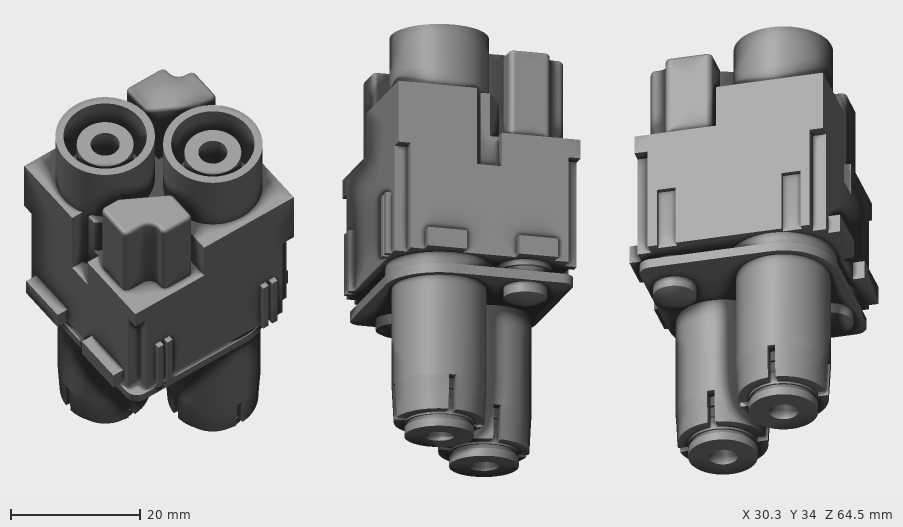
import cadquery as cq
import math

OVERALL_X = 30.3
OVERALL_Y = 34.0
OVERALL_Z = 64.5

BODY_X = 29.4
BODY_Y = 30.2
BODY_TOP = 26.9
HALF_X = BODY_X / 2
HALF_Y = BODY_Y / 2
EDGE_RELIEF_X = 1.95
EDGE_RELIEF_Y = 2.15
EDGE_RELIEF_TOP = 17.0
OVERCUT = 1.0

CONTACT_X = 5.5
CONTACT_Y = 6.3
BORE_RADIUS = 2.25

SLEEVE_TOP = 37.2
SLEEVE_OUTER_RADIUS = 7.7
SLEEVE_INNER_RADIUS = 6.45
PIN_RADIUS = 4.4
PIN_SETBACK = 2.05

SHELF_Z = 20.0
SHELF_EDGE_Y = -2.0
SHELF_STEP_X = 6.1
SHELF_STEP_Y = -2.5
SHELF_WALL_X = 3.6
SHELF_BEND_Y = -8.3
BLOCK_TOP = 34.1
BLOCK_LEFT = 3.65
BLOCK_RIGHT = 13.4
BLOCK_BACK = -3.1
BLOCK_FRONT = -13.85
BLOCK_SLANT_X = 7.8
BLOCK_SLANT_Y = -10.4
BLOCK_NOTCH_X = 10.3
FRONT_BLOCK_NOTCH_Y = -8.75
REAR_BLOCK_NOTCH_Y = -10.65
BLOCK_CORNER_RADIUS = 0.9
BLOCK_NOTCH_RADIUS = 1.8
BLOCK_TOP_FILLET = 0.6

SLOT_WIDTH = 4.0
SLOT_DEPTH = 2.2
SLOT_FLOOR_Z = 14.55
SLOT_LEDGE_HALF = 0.75

LUG_SPACING = 14.75
LUG_HEIGHT = 3.0
LUG_DEPTH = (OVERALL_Y - BODY_Y) / 2
FRONT_LUG_WIDTH = 8.3
REAR_LUG_WIDTH = 6.25
RIB_PAIR_Y = 10.0
RIB_HEIGHT = 9.9
RIB_DEPTH = OVERALL_X - BODY_X
RIB_WIDTH = 1.0
RIB_PITCH = 1.7
GROOVE_WIDTH = 3.0
GROOVE_DEPTH = 0.9

PLATE_TOP = -1.9
PLATE_BOTTOM = -3.4
PLATE_HALF_X = 14.05
PLATE_HALF_Y = 14.9
PLATE_CORNER_RADIUS = 2.1
NECK_RADIUS = 8.4
SCREW_X = 7.1
SCREW_Y = -10.65
SCREW_BOSS_RADIUS = 4.1
SCREW_BOSS_HEIGHT = 0.85
SCREW_WASHER_RADIUS = 3.6
SCREW_HEAD_RADIUS = 3.4
SCREW_HEAD_EDGE_Z = -5.05
SCREW_HEAD_BOTTOM = -6.1

TUBE_RADIUS = 7.35
TUBE_BOTTOM = -19.5
COLLAR_BOTTOM = -25.0
COLLAR_END_RADIUS = 7.05
COLLAR_SLOT_WIDTH = 1.2
CORE_RADIUS = 5.4
CORE_BOTTOM = SLEEVE_TOP - OVERALL_Z
CORE_GROOVE_RADIUS = 4.9
CORE_GROOVE_TOP = -21.1
CORE_GROOVE_TAPER = -22.65
CORE_GROOVE_BOTTOM = -23.35
RING_GROOVE_TOP = -25.3
RING_GROOVE_BOTTOM = -26.0
RING_GROOVE_RADIUS = 5.05


def half_turn(shape):
    """The same feature turned 180 degrees about the Z axis."""
    return shape.rotate((0, 0, 0), (0, 0, 1), 180)


def box(x0, x1, y0, y1, z0, z1):
    return cq.Workplane("XY").box(x1 - x0, y1 - y0, z1 - z0, centered=False).translate((x0, y0, z0))


def cylinder(x, y, radius, z0, z1):
    return cq.Workplane("XY", origin=(x, y, z0)).circle(radius).extrude(z1 - z0)


def body_block():
    body = box(-HALF_X, HALF_X, -HALF_Y, HALF_Y, 0, BODY_TOP)
    reliefs = (
        cq.Workplane("XY")
        .rect(BODY_X, BODY_Y, forConstruction=True)
        .vertices()
        .rect(2 * EDGE_RELIEF_X, 2 * EDGE_RELIEF_Y)
        .extrude(EDGE_RELIEF_TOP)
    )
    return body.cut(reliefs)


def shelf_recess():
    """Open corner above the shelf, bounded inside by a stepped and slanted wall."""
    right = HALF_X + OVERCUT
    front = -HALF_Y - OVERCUT
    ledge_y = -HALF_Y + SLOT_DEPTH
    return (
        cq.Workplane("XY", origin=(0, 0, SHELF_Z))
        .moveTo(right, SHELF_EDGE_Y)
        .lineTo(SHELF_STEP_X, SHELF_EDGE_Y)
        .lineTo(SHELF_STEP_X, SHELF_STEP_Y)
        .lineTo(SHELF_WALL_X, SHELF_STEP_Y)
        .lineTo(SHELF_WALL_X, SHELF_BEND_Y)
        .lineTo(SLOT_LEDGE_HALF, ledge_y)
        .lineTo(SLOT_LEDGE_HALF, front)
        .lineTo(right, front)
        .close()
        .extrude(BODY_TOP - SHELF_Z + OVERCUT)
    )


def guide_slot():
    """Slot in the -Y face; its left part reaches in to the sleeve wall."""
    front = -HALF_Y - OVERCUT
    back = -HALF_Y + SLOT_DEPTH
    top = BODY_TOP + OVERCUT
    half = SLOT_WIDTH / 2
    slot = box(-half, half, front, back, SLOT_FLOOR_Z, top)
    side = -CONTACT_Y - math.sqrt(SLEEVE_OUTER_RADIUS**2 - (CONTACT_X - SLOT_LEDGE_HALF) ** 2)
    slot = slot.union(box(-half, -SLOT_LEDGE_HALF, front, side, SLOT_FLOOR_Z, top))
    return slot.cut(cylinder(-CONTACT_X, -CONTACT_Y, SLEEVE_OUTER_RADIUS, SLOT_FLOOR_Z, top))


def coding_block(notch_y):
    """Slant-sided key on the shelf with a rounded notch starting at notch_y in its outer corner."""
    mid_z = (SHELF_Z + BLOCK_TOP) / 2
    block = (
        cq.Workplane("XY", origin=(0, 0, SHELF_Z))
        .moveTo(BLOCK_SLANT_X, BLOCK_BACK)
        .lineTo(BLOCK_RIGHT, BLOCK_BACK)
        .lineTo(BLOCK_RIGHT, notch_y)
        .lineTo(BLOCK_NOTCH_X, notch_y)
        .lineTo(BLOCK_NOTCH_X, BLOCK_FRONT)
        .lineTo(BLOCK_LEFT, BLOCK_FRONT)
        .lineTo(BLOCK_LEFT, BLOCK_SLANT_Y)
        .close()
        .extrude(BLOCK_TOP - SHELF_Z)
    )
    notch_edge = cq.selectors.NearestToPointSelector((BLOCK_NOTCH_X, notch_y, mid_z))
    block = block.edges(notch_edge).fillet(BLOCK_NOTCH_RADIUS)
    for x, y in (
        (BLOCK_SLANT_X, BLOCK_BACK),
        (BLOCK_RIGHT, BLOCK_BACK),
        (BLOCK_RIGHT, notch_y),
        (BLOCK_NOTCH_X, BLOCK_FRONT),
        (BLOCK_LEFT, BLOCK_FRONT),
        (BLOCK_LEFT, BLOCK_SLANT_Y),
    ):
        edge = cq.selectors.NearestToPointSelector((x, y, mid_z))
        block = block.edges(edge).fillet(BLOCK_CORNER_RADIUS)
    return block.faces(">Z").edges().fillet(BLOCK_TOP_FILLET)


def add_lugs(part):
    for x in (-LUG_SPACING / 2, LUG_SPACING / 2):
        for y, width in ((-HALF_Y, FRONT_LUG_WIDTH), (HALF_Y, REAR_LUG_WIDTH)):
            part = part.union(box(x - width / 2, x + width / 2, y - LUG_DEPTH, y + LUG_DEPTH, 0, LUG_HEIGHT))
    return part


def add_ribs_and_grooves(part):
    for pair_y in (-RIB_PAIR_Y, RIB_PAIR_Y):
        for offset in (-RIB_PITCH / 2, RIB_PITCH / 2):
            y0 = pair_y + offset - RIB_WIDTH / 2
            part = part.union(box(HALF_X - OVERCUT, HALF_X + RIB_DEPTH, y0, y0 + RIB_WIDTH, 0, RIB_HEIGHT))
        part = part.cut(
            box(
                -HALF_X - OVERCUT,
                -HALF_X + GROOVE_DEPTH,
                pair_y - GROOVE_WIDTH / 2,
                pair_y + GROOVE_WIDTH / 2,
                0,
                RIB_HEIGHT,
            )
        )
    return part


def retaining_plate():
    """Plate with large rounds at the two contact corners and small ones at the other two."""
    plate = box(-PLATE_HALF_X, PLATE_HALF_X, -PLATE_HALF_Y, PLATE_HALF_Y, PLATE_BOTTOM, PLATE_TOP)
    large_radius = PLATE_HALF_X - CONTACT_X
    for side in (-1, 1):
        for x_side, radius in ((side, large_radius), (-side, PLATE_CORNER_RADIUS)):
            corner = (x_side * PLATE_HALF_X, side * PLATE_HALF_Y, (PLATE_TOP + PLATE_BOTTOM) / 2)
            plate = plate.edges(cq.selectors.NearestToPointSelector(corner)).fillet(radius)
    return plate


def screw():
    """Boss and washer above the plate, domed head below it."""
    head = (
        cq.Workplane("XZ")
        .moveTo(0, 0)
        .lineTo(SCREW_BOSS_RADIUS, 0)
        .lineTo(SCREW_BOSS_RADIUS, -SCREW_BOSS_HEIGHT)
        .lineTo(SCREW_WASHER_RADIUS, -SCREW_BOSS_HEIGHT)
        .lineTo(SCREW_WASHER_RADIUS, PLATE_TOP)
        .lineTo(SCREW_HEAD_RADIUS, PLATE_TOP)
        .lineTo(SCREW_HEAD_RADIUS, SCREW_HEAD_EDGE_Z)
    )
    dome_height = SCREW_HEAD_EDGE_Z - SCREW_HEAD_BOTTOM
    dome_radius = (SCREW_HEAD_RADIUS**2 + dome_height**2) / (2 * dome_height)
    mid_angle = math.asin(SCREW_HEAD_RADIUS / dome_radius) / 2
    dome_middle = (
        dome_radius * math.sin(mid_angle),
        SCREW_HEAD_BOTTOM + dome_radius * (1 - math.cos(mid_angle)),
    )
    head = head.threePointArc(dome_middle, (0, SCREW_HEAD_BOTTOM)).close().revolve()
    return head.translate((SCREW_X, SCREW_Y, 0))


def sleeve_recess():
    """Ring-shaped gap around the contact pin, with the pin tip set back from the rim."""
    rim_gap = cylinder(0, 0, SLEEVE_INNER_RADIUS, BODY_TOP, SLEEVE_TOP)
    return rim_gap.cut(cylinder(0, 0, PIN_RADIUS, BODY_TOP, SLEEVE_TOP - PIN_SETBACK))


def slotted_collar():
    """Tapered collar at the tube end, split by four slots down to the core."""
    collar = (
        cq.Workplane("XZ")
        .moveTo(CORE_RADIUS, TUBE_BOTTOM)
        .lineTo(TUBE_RADIUS, TUBE_BOTTOM)
        .lineTo(COLLAR_END_RADIUS, COLLAR_BOTTOM)
        .lineTo(CORE_RADIUS, COLLAR_BOTTOM)
        .close()
        .revolve()
    )
    half = COLLAR_SLOT_WIDTH / 2
    reach = TUBE_RADIUS + OVERCUT
    collar = collar.cut(box(-half, half, -reach, reach, COLLAR_BOTTOM, TUBE_BOTTOM))
    return collar.cut(box(-reach, reach, -half, half, COLLAR_BOTTOM, TUBE_BOTTOM))


def grooved_core():
    return (
        cq.Workplane("XZ")
        .moveTo(0, TUBE_BOTTOM)
        .lineTo(CORE_RADIUS, TUBE_BOTTOM)
        .lineTo(CORE_RADIUS, CORE_GROOVE_TOP)
        .lineTo(CORE_GROOVE_RADIUS, CORE_GROOVE_TOP)
        .lineTo(CORE_GROOVE_RADIUS, CORE_GROOVE_TAPER)
        .lineTo(CORE_RADIUS, CORE_GROOVE_BOTTOM)
        .lineTo(CORE_RADIUS, RING_GROOVE_TOP)
        .lineTo(RING_GROOVE_RADIUS, RING_GROOVE_TOP)
        .lineTo(RING_GROOVE_RADIUS, RING_GROOVE_BOTTOM)
        .lineTo(CORE_RADIUS, RING_GROOVE_BOTTOM)
        .lineTo(CORE_RADIUS, CORE_BOTTOM)
        .lineTo(0, CORE_BOTTOM)
        .close()
        .revolve()
    )


def contact_insert():
    """Everything coaxial with one contact, about the origin, before boring."""
    insert = cylinder(0, 0, SLEEVE_OUTER_RADIUS, SLOT_FLOOR_Z, SLEEVE_TOP).cut(sleeve_recess())
    neck = cylinder(0, 0, NECK_RADIUS, PLATE_TOP, 0)
    tube = cylinder(0, 0, TUBE_RADIUS, TUBE_BOTTOM, SLOT_FLOOR_Z)
    return insert.union(tube).union(neck).union(slotted_collar()).union(grooved_core())


def build():
    part = body_block()
    for cutter in (shelf_recess(), guide_slot()):
        part = part.cut(cutter).cut(half_turn(cutter))
    part = add_lugs(part)
    part = add_ribs_and_grooves(part)
    part = part.union(retaining_plate())
    part = part.union(coding_block(FRONT_BLOCK_NOTCH_Y))
    part = part.union(half_turn(coding_block(REAR_BLOCK_NOTCH_Y)))
    part = part.union(screw()).union(half_turn(screw()))
    insert = contact_insert()
    for side in (-1, 1):
        x = side * CONTACT_X
        y = side * CONTACT_Y
        part = part.union(insert.translate((x, y, 0)))
        part = part.cut(cylinder(x, y, BORE_RADIUS, CORE_BOTTOM, SLEEVE_TOP))
    return part


result = build()